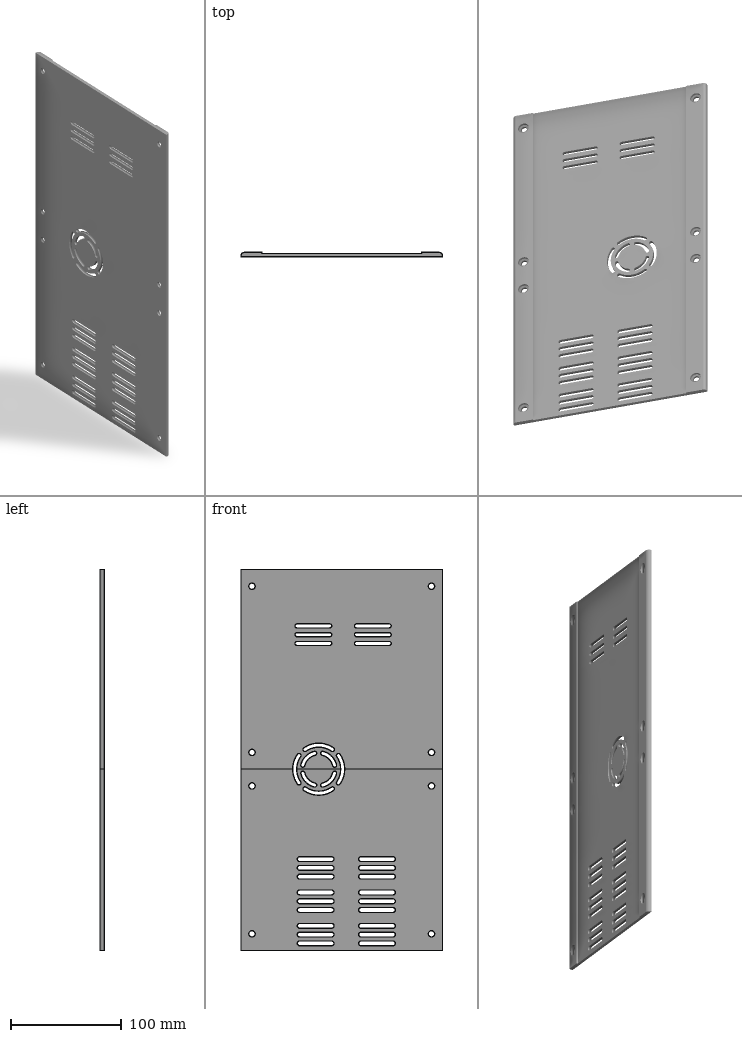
import cadquery as cq
import math

width = 181.5
height = 343.5
plate_depth = 3.0
rail_rise = 1.0
full_depth = plate_depth + rail_rise
lower_height = 163.5
back_edge_radius = 3.0

rail_width = 19.0

hole_diameter = 5.5
bore_diameter = 10.0
bore_depth = 2.0
hole_side_inset = 10.0
hole_end_inset = 15.0

slot_length = 33.0
slots_per_group = 3
slot_pitch = 8.0
upper_slot_width = 3.5
lower_slot_width = 4.0
upper_column_starts = (48.8, 102.5)
lower_column_starts = (50.8, 106.0)
upper_group_base = 276.8
lower_group_base = 6.5
lower_group_count = 3
lower_groups_rise = 60.0
lower_group_pitch = lower_groups_rise / (lower_group_count - 1)

grille_x = 70.0
grille_z = lower_height
arc_slots_per_ring = 4
arc_slot_width = 3.5
outer_ring_radius = 21.5
inner_ring_radius = 14.8
outer_slot_span = 70
inner_slot_span = 62
inner_ring_turn = 45


def front_plane(depth=0.0):
    """Sketch plane at the given depth, with local x along X and local y along Z."""
    return cq.Workplane("XZ", origin=(0, depth, 0))


def panel_blank(bottom, top):
    """Plate with thick side rails whose outer back edges are rounded."""
    return (
        cq.Workplane("XY", origin=(0, 0, bottom))
        .polyline([
            (0, 0),
            (width, 0),
            (width, full_depth),
            (width - rail_width, full_depth),
            (width - rail_width, plate_depth),
            (rail_width, plate_depth),
            (rail_width, full_depth),
            (0, full_depth),
        ])
        .close()
        .extrude(top - bottom)
        .edges("|Z and >Y")
        .edges("<X or >X")
        .fillet(back_edge_radius)
    )


def screw_holes(bottom, top):
    """Through holes near the four corners of a panel, counterbored from the back."""
    points = [
        (x, z)
        for x in (hole_side_inset, width - hole_side_inset)
        for z in (bottom + hole_end_inset, top - hole_end_inset)
    ]
    through = front_plane().pushPoints(points).circle(hole_diameter / 2).extrude(-full_depth)
    bores = front_plane(full_depth).pushPoints(points).circle(bore_diameter / 2).extrude(bore_depth)
    return through.union(bores)


def louvre_group(column_starts, base, slot_width):
    """Two columns of stacked horizontal slots; base is the height of the lowest slot's centre line."""
    points = [
        (start + slot_length / 2, base + row * slot_pitch)
        for start in column_starts
        for row in range(slots_per_group)
    ]
    return front_plane().pushPoints(points).slot2D(slot_length, slot_width).extrude(-full_depth)


def arc_slot(radius, start_angle, end_angle):
    """Round-ended slot that follows an arc about the grille centre; angles are in degrees."""

    def polar(distance, angle):
        turn = math.radians(angle)
        return (distance * math.cos(turn), distance * math.sin(turn))

    inner = radius - arc_slot_width / 2
    outer = radius + arc_slot_width / 2
    middle_angle = (start_angle + end_angle) / 2
    cap_turn = math.degrees(arc_slot_width / 2 / radius)
    return (
        front_plane()
        .center(grille_x, grille_z)
        .moveTo(*polar(outer, start_angle))
        .threePointArc(polar(outer, middle_angle), polar(outer, end_angle))
        .threePointArc(polar(radius, end_angle + cap_turn), polar(inner, end_angle))
        .threePointArc(polar(inner, middle_angle), polar(inner, start_angle))
        .threePointArc(polar(radius, start_angle - cap_turn), polar(outer, start_angle))
        .close()
        .extrude(-full_depth)
    )


def ring_of_arc_slots(radius, span, first_angle):
    """Evenly spaced arc slots on one circle; first_angle is the middle of the first slot."""
    ring = cq.Workplane()
    for index in range(arc_slots_per_ring):
        middle = first_angle + index * 360 / arc_slots_per_ring
        ring = ring.add(arc_slot(radius, middle - span / 2, middle + span / 2))
    return ring.combine()


def round_grille():
    """Two rings of arc slots centred on the seam, so that both panels carry a half of it."""
    outer_ring = ring_of_arc_slots(outer_ring_radius, outer_slot_span, 0)
    inner_ring = ring_of_arc_slots(inner_ring_radius, inner_slot_span, inner_ring_turn)
    return outer_ring.union(inner_ring)


def drilled_panel(bottom, top):
    """Panel with its screw holes and its half of the grille, before louvres."""
    return panel_blank(bottom, top).cut(screw_holes(bottom, top)).cut(round_grille())


def make_lower_panel():
    panel = drilled_panel(0, lower_height)
    for group in range(lower_group_count):
        group_base = lower_group_base + group * lower_group_pitch
        panel = panel.cut(louvre_group(lower_column_starts, group_base, lower_slot_width))
    return panel


def make_upper_panel():
    panel = drilled_panel(lower_height, height)
    return panel.cut(louvre_group(upper_column_starts, upper_group_base, upper_slot_width))


lower_panel = make_lower_panel()
upper_panel = make_upper_panel()

result = cq.Compound.makeCompound([lower_panel.val(), upper_panel.val()])